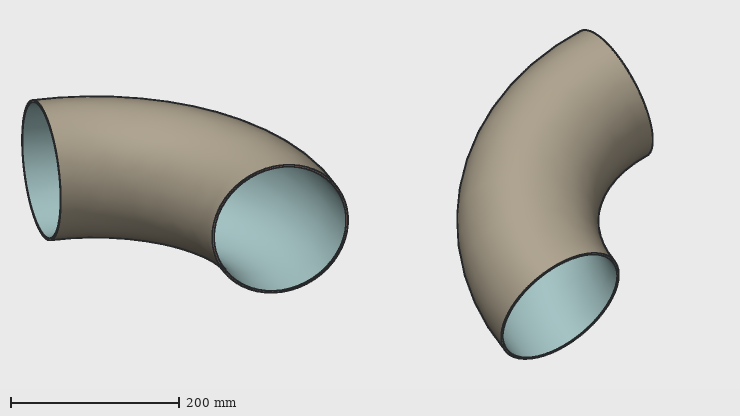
import cadquery as cq

overall_length = 313.0
outer_diameter = 168.2
wall_thickness = 2.6
bend_angle = 90.0

outer_radius = outer_diameter / 2
inner_radius = outer_radius - wall_thickness
bend_radius = overall_length - outer_radius


def pipe_elbow():
    """Sweep the pipe's ring section about a vertical axis, from the -Y mouth to the +X mouth.

    The -Y mouth is centred on the origin and the bend axis passes through (bend_radius, 0).
    """
    ring = cq.Workplane("XZ").circle(outer_radius).circle(inner_radius)
    return ring.revolve(bend_angle, (bend_radius, 3, 0), (bend_radius, 0, 0))


result = pipe_elbow()